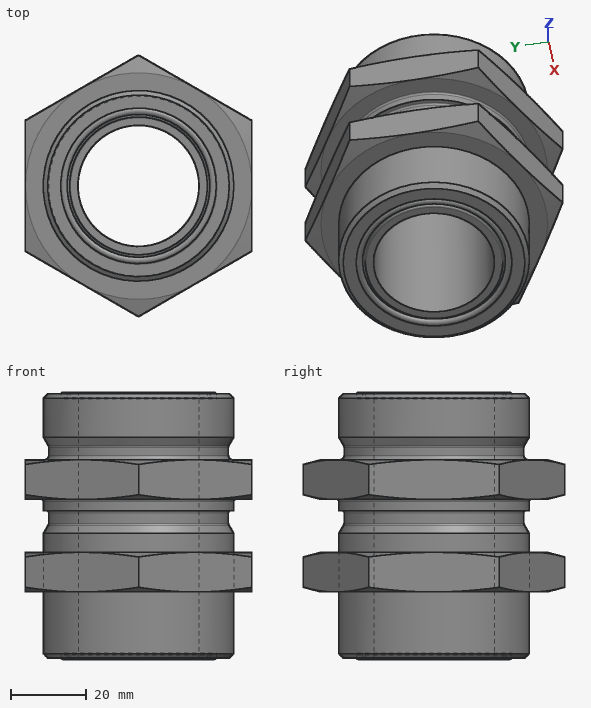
import cadquery as cq
import math

body_length = 70.0
half_length = body_length / 2
bore_diameter = 32.0
thread_diameter = 50.47
thread_radius = thread_diameter / 2
undercut_diameter = 47.65
undercut_radius = undercut_diameter / 2
end_chamfer = 1.2
end_face_radius = thread_radius - end_chamfer

hex_across_flats = 60.0
hex_height = 10.5
hex_chamfer_angle = math.radians(15)
body_hex_bottom = 7.0
body_hex_top = body_hex_bottom + hex_height
nut_bottom = -body_hex_top

collar_height = 3.0
collar_bottom = body_hex_bottom - collar_height
undercut_width = 6.0
runout_angle = math.radians(30)
runout_height = (thread_radius - undercut_radius) / math.tan(runout_angle)
runout_fillet = 1.0
hex_fillet = 1.2
collar_fillet = 0.5
upper_runout_start = body_hex_top + undercut_width
lower_runout_start = collar_bottom - undercut_width

groove_inner_radius = 36.47 / 2
groove_outer_radius = 41.17 / 2
groove_lip_fillet = 0.15
groove_floor_fillet = 0.3
cord_diameter = 1.8
cord_radius = cord_diameter / 2
ring_outer_diameter = 41.4
ring_centre_radius = ring_outer_diameter / 2 - cord_radius
ring_protrusion = 0.41
groove_depth = cord_diameter - ring_protrusion
groove_floor = half_length - groove_depth


def hexagon(bottom):
    """Hexagonal prism with corners on +Y and -Y, both rims bevelled down from the inscribed circle."""
    corner_diameter = hex_across_flats / math.cos(math.pi / 6)
    flat_radius = hex_across_flats / 2
    corner_radius = corner_diameter / 2
    bevel = (corner_radius - flat_radius) * math.tan(hex_chamfer_angle)
    prism = (
        cq.Workplane("XY")
        .polygon(6, corner_diameter)
        .extrude(hex_height)
        .rotate((0, 0, 0), (0, 0, 1), 30)
    )
    envelope = (
        cq.Workplane("XZ")
        .moveTo(0, 0)
        .lineTo(flat_radius, 0)
        .lineTo(corner_radius, bevel)
        .lineTo(corner_radius, hex_height - bevel)
        .lineTo(flat_radius, hex_height)
        .lineTo(0, hex_height)
        .close()
        .revolve(360, (0, 0, 0), (0, 1, 0))
    )
    return prism.intersect(envelope).translate((0, 0, bottom))


def concave_fillet(profile, start, sharp, end, radius):
    """Round an inner corner of a profile: line to the tangent point, then an arc to the other tangent."""
    to_start = (cq.Vector(*start) - cq.Vector(*sharp)).normalized()
    to_end = (cq.Vector(*end) - cq.Vector(*sharp)).normalized()
    half_angle = to_start.getAngle(to_end) / 2
    tangent_length = radius / math.tan(half_angle)
    corner = cq.Vector(*sharp)
    bisector = (to_start + to_end).normalized()
    first = corner + to_start * tangent_length
    middle = corner + bisector * (radius / math.sin(half_angle) - radius)
    last = corner + to_end * tangent_length
    return (
        profile.lineTo(first.x, first.y)
        .threePointArc((middle.x, middle.y), (last.x, last.y))
    )


def turned_core():
    """Threaded tube with end chamfers, collar and both undercuts, before bore and grooves."""
    inner = bore_diameter / 2
    hex_root = thread_radius + collar_fillet
    lower_start = (thread_radius, lower_runout_start)
    lower_corner = (undercut_radius, lower_runout_start + runout_height)
    collar_corner = (undercut_radius, collar_bottom)
    collar_edge = (thread_radius, collar_bottom)
    collar_top = (thread_radius, body_hex_bottom)
    hex_corner = (undercut_radius, body_hex_top)
    upper_corner = (undercut_radius, upper_runout_start - runout_height)
    upper_start = (thread_radius, upper_runout_start)

    profile = (
        cq.Workplane("XZ")
        .moveTo(inner, -half_length)
        .lineTo(end_face_radius, -half_length)
        .lineTo(thread_radius, -half_length + end_chamfer)
        .lineTo(*lower_start)
    )
    profile = concave_fillet(profile, lower_start, lower_corner, collar_corner, runout_fillet)
    profile = concave_fillet(profile, lower_corner, collar_corner, collar_edge, collar_fillet)
    profile = profile.lineTo(*collar_edge)
    profile = concave_fillet(profile, collar_edge, collar_top, (hex_root, body_hex_bottom), collar_fillet)
    profile = profile.lineTo(hex_root, body_hex_top)
    profile = concave_fillet(profile, (hex_root, body_hex_top), hex_corner, upper_corner, hex_fillet)
    profile = concave_fillet(profile, hex_corner, upper_corner, upper_start, runout_fillet)
    profile = (
        profile.lineTo(*upper_start)
        .lineTo(thread_radius, half_length - end_chamfer)
        .lineTo(end_face_radius, half_length)
        .lineTo(inner, half_length)
        .close()
    )
    return profile.revolve(360, (0, 0, 0), (0, 1, 0))


def end_groove():
    """O-ring groove volume in the top face: rounded lips, and a fillet at the inner edge of the floor."""
    lip_bottom = half_length - groove_lip_fillet
    inner_floor = (groove_inner_radius, groove_floor)
    outer_floor = (groove_outer_radius, groove_floor)
    profile = (
        cq.Workplane("XZ")
        .moveTo(groove_outer_radius + groove_lip_fillet, half_length)
        .lineTo(groove_inner_radius - groove_lip_fillet, half_length)
        .radiusArc((groove_inner_radius, lip_bottom), groove_lip_fillet)
    )
    profile = concave_fillet(
        profile, (groove_inner_radius, lip_bottom), inner_floor, outer_floor, groove_floor_fillet
    )
    profile = (
        profile.lineTo(*outer_floor)
        .lineTo(groove_outer_radius, lip_bottom)
        .radiusArc((groove_outer_radius + groove_lip_fillet, half_length), groove_lip_fillet)
        .close()
    )
    return profile.revolve(360, (0, 0, 0), (0, 1, 0))


def make_fitting_body():
    bore = cq.Workplane("XY", origin=(0, 0, -half_length)).circle(bore_diameter / 2).extrude(body_length)
    groove = end_groove()
    return (
        turned_core()
        .union(hexagon(body_hex_bottom).cut(bore))
        .cut(groove)
        .cut(groove.mirror("XY"))
    )


def make_locknut():
    thread_hole = (
        cq.Workplane("XY", origin=(0, 0, nut_bottom))
        .circle(thread_radius)
        .extrude(hex_height)
    )
    return hexagon(nut_bottom).cut(thread_hole)


def make_o_ring(end):
    """O-ring on the groove floor, trimmed by the outer wall; end is +1 for the top, -1 for the bottom."""
    centre_height = groove_floor + cord_radius
    ring = cq.Workplane(
        cq.Solid.makeTorus(ring_centre_radius, cord_radius, cq.Vector(0, 0, end * centre_height))
    )
    outer_wall = (
        cq.Workplane("XY", origin=(0, 0, end * centre_height))
        .circle(groove_outer_radius)
        .extrude(cord_diameter, both=True)
    )
    return ring.intersect(outer_wall)


fitting_body = make_fitting_body()
locknut = make_locknut()
o_rings = [make_o_ring(end) for end in (1, -1)]

result = cq.Compound.makeCompound(
    [fitting_body.val(), locknut.val(), *[ring.val() for ring in o_rings]]
)